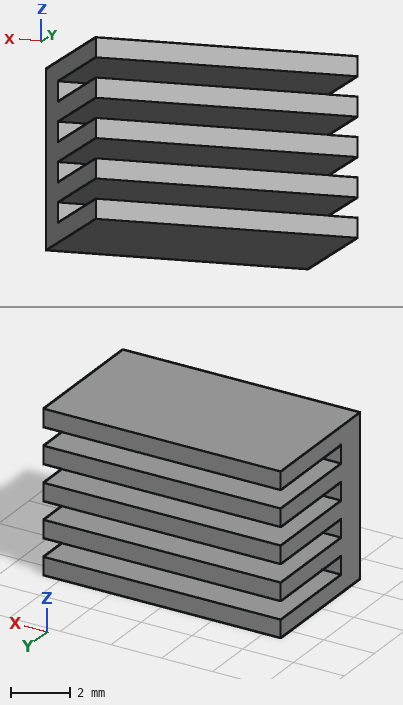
import cadquery as cq

length = 9.36
depth = 5.26
height = 6.3

base_thickness = 1.26
fin_count = 5

fin_thickness = height / (2 * fin_count - 1)
fin_pitch = 2 * fin_thickness


def make_slab(y_size, z_size, z_bottom):
    """Full-length block whose front face lies on the front of the part."""
    return (
        cq.Workplane("XY")
        .box(length, y_size, z_size, centered=(True, False, False))
        .translate((0, -depth / 2, z_bottom - height / 2))
    )


result = make_slab(base_thickness, height, 0)

for index in range(fin_count):
    result = result.union(make_slab(depth, fin_thickness, index * fin_pitch))
result = result.clean()